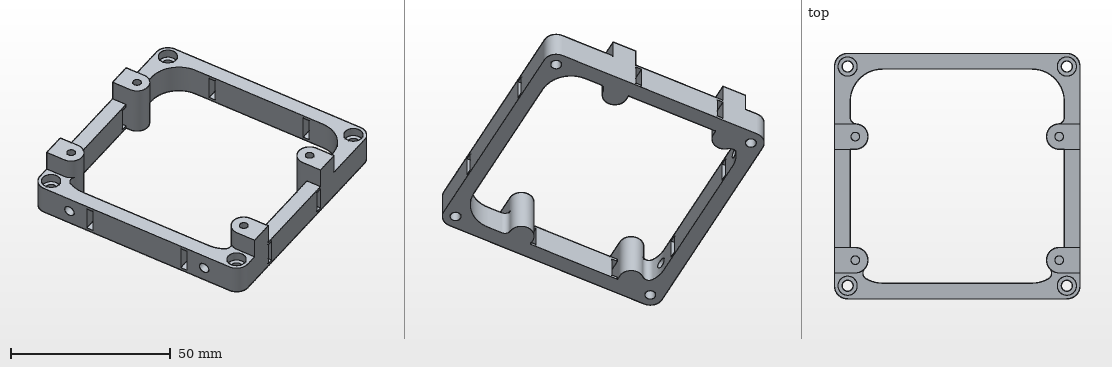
import cadquery as cq

side = 77.0
frame_height = 10.0
wall = 5.0
outer_radius = 4.15
opening_radius = 2 * wall
opening_side = side - 2 * wall

post_height = 17.0
post_width = 8.0
post_inset = 6.55
rear_post_y = 12.4
front_post_y = -26.3
post_hole_diameter = 2.7
post_hole_depth = post_height - frame_height
post_fillet = 2.0

corner_hole_diameter = 3.4
counterbore_diameter = 6.0
counterbore_depth = 3.0

slot_height = 8.0
side_slot_width = 2.0
end_slot_width = 2.2
end_slot_offset = 17.4

front_hole_diameter = 3.5
front_hole_offset = 24.95

mid_height = frame_height / 2
post_axis_x = side / 2 - post_inset
corner_offset = side / 2 - outer_radius
bay_front = front_post_y + post_width / 2
bay_rear = rear_post_y - post_width / 2
post_points = [(sx * post_axis_x, y) for sx in (-1, 1) for y in (front_post_y, rear_post_y)]
corner_points = [(sx * corner_offset, sy * corner_offset) for sx in (-1, 1) for sy in (-1, 1)]


def post(axis_x, axis_y, height):
    """Post with a flat outer face in the wall plane and a half-round inner end."""
    outer_x = side / 2 if axis_x > 0 else -side / 2
    block = cq.Workplane("XY").box(post_inset, post_width, height, centered=(True, True, False))
    block = block.translate(((axis_x + outer_x) / 2, axis_y, 0))
    nose = cq.Workplane("XY").center(axis_x, axis_y).circle(post_width / 2).extrude(height)
    return block.union(nose)


def opening():
    """Inner opening around the posts, filleted beside their far sides and square between them."""
    space = cq.Workplane("XY").rect(opening_side, opening_side).extrude(frame_height)
    space = space.edges("|Z").fillet(opening_radius)
    for x, y in post_points:
        space = space.cut(post(x, y, frame_height))
    for x in (-opening_side / 2, opening_side / 2):
        for y in (front_post_y - post_width / 2, rear_post_y + post_width / 2):
            corner = cq.selectors.NearestToPointSelector((x, y, mid_height))
            space = space.edges("|Z").edges(corner).fillet(post_fillet)
    return space


def frame():
    """Square frame with rounded outer corners and the inner opening cut through."""
    block = cq.Workplane("XY").rect(side, side).extrude(frame_height)
    return block.edges("|Z").fillet(outer_radius).cut(opening())


def slot_pair(length_x, length_y, x, y):
    """Upright slot cut running straight through two opposite walls."""
    return cq.Workplane("XY").box(length_x, length_y, slot_height).translate((x, y, mid_height))


result = frame()
for x, y in post_points:
    result = result.union(post(x, y, post_height))

post_holes = cq.Workplane("XY", origin=(0, 0, post_height)).pushPoints(post_points)
result = result.cut(post_holes.circle(post_hole_diameter / 2).extrude(-post_hole_depth))

corner_tops = cq.Workplane("XY", origin=(0, 0, frame_height)).pushPoints(corner_points)
result = result.cut(corner_tops.circle(corner_hole_diameter / 2).extrude(-frame_height))
result = result.cut(corner_tops.circle(counterbore_diameter / 2).extrude(-counterbore_depth))

for y in (bay_front + side_slot_width / 2, bay_rear - side_slot_width / 2):
    result = result.cut(slot_pair(side, side_slot_width, 0, y))

for x in (-end_slot_offset, end_slot_offset):
    result = result.cut(slot_pair(end_slot_width, side, x, 0))

front_face = cq.Workplane("XZ", origin=(0, -side / 2, mid_height))
front_holes = front_face.pushPoints([(-front_hole_offset, 0), (front_hole_offset, 0)])
result = result.cut(front_holes.circle(front_hole_diameter / 2).extrude(-2 * wall))